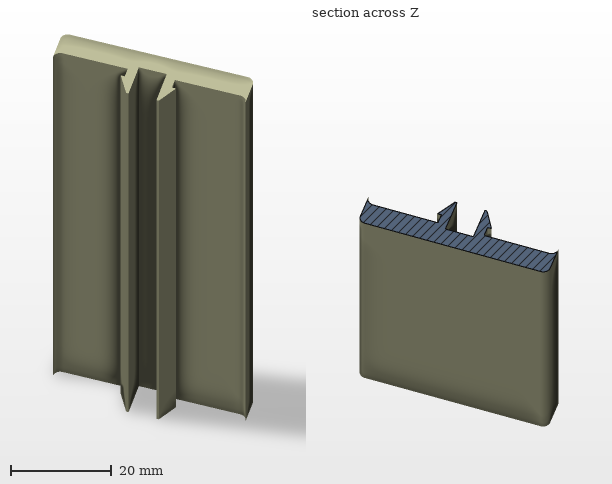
import cadquery as cq
import math

width = 40.0
depth = 11.0
length = 100.0

plate_thickness = 5.0
edge_radius = 1.5

slot_width = 5.8
slot_floor_depth = 4.0
leg_thickness = 2.0
leg_tip_thickness = 0.5
barb_overhang = 0.85
barb_depth = 7.0

half_width = width / 2
slot_side = slot_width / 2
leg_side = slot_side + leg_thickness
leg_tip_side = slot_side + leg_tip_thickness
barb_tip = leg_side + barb_overhang
lip_depth = plate_thickness + edge_radius
arc_start = half_width - edge_radius
arc_mid = arc_start + edge_radius * math.sin(math.pi / 4)
arc_sag = edge_radius * (1 - math.cos(math.pi / 4))


def half_profile():
    """Right half of the section, closed along the centre plane."""
    return (
        cq.Workplane("XY")
        .moveTo(0, 0)
        .lineTo(arc_start, 0)
        .threePointArc((arc_mid, -arc_sag), (half_width, -edge_radius))
        .lineTo(half_width, -lip_depth)
        .threePointArc((arc_mid, -plate_thickness - arc_sag), (arc_start, -plate_thickness))
        .lineTo(leg_side, -plate_thickness)
        .lineTo(leg_side, -barb_depth)
        .lineTo(barb_tip, -barb_depth)
        .lineTo(leg_tip_side, -depth)
        .lineTo(slot_side, -depth)
        .lineTo(slot_side, -slot_floor_depth)
        .lineTo(0, -slot_floor_depth)
        .close()
    )


half = half_profile().extrude(length)
result = half.union(half.mirror("YZ")).clean()